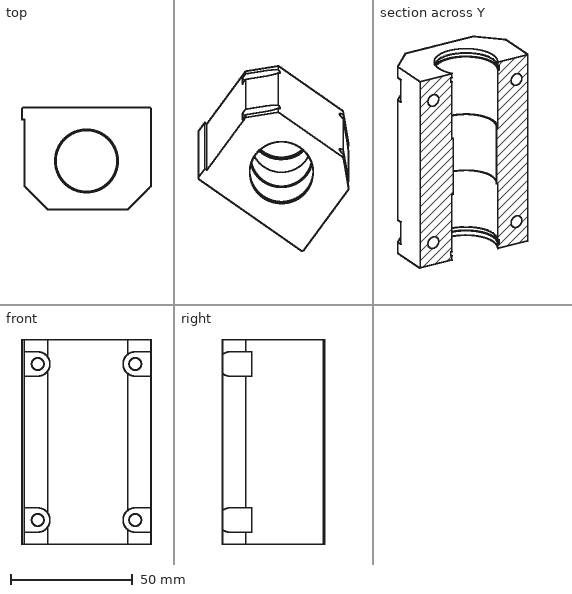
import cadquery as cq

length = 84.0
width = 53.0
depth = 42.0
back_y = depth / 2
front_y = -depth / 2
half_width = width / 2

lip_overhang = 1.0
lip_depth = 5.0
front_chamfer = 9.7
back_chamfer = 0.5

bore_y = back_y - 22.0
middle_diameter = 25.0
seat_diameter = 26.0
seat_depth = 29.4
groove_diameter = 27.2
groove_offset = 2.0
groove_width = 1.7

hole_diameter = 4.95
hole_spacing_x = 40.0
hole_spacing_z = 64.0
slot_width = 10.0
slot_depth = 12.0


def make_body():
    """Extrude the chamfered section with its locating lip on the -X side."""
    body_left = lip_overhang - half_width
    outline = [
        (-half_width + back_chamfer, back_y),
        (half_width - back_chamfer, back_y),
        (half_width, back_y - back_chamfer),
        (half_width, front_y + front_chamfer),
        (half_width - front_chamfer, front_y),
        (body_left + front_chamfer, front_y),
        (body_left, front_y + front_chamfer),
        (body_left, back_y - lip_depth),
        (-half_width, back_y - lip_depth),
        (-half_width, back_y - back_chamfer),
    ]
    return cq.Workplane("XY").polyline(outline).close().extrude(length)


def bore_cylinder(diameter, bottom, height):
    return cq.Workplane("XY", origin=(0, bore_y, bottom)).circle(diameter / 2).extrude(height)


def make_bore():
    """Through bore with a bearing seat and a retaining-ring groove at each end."""
    bore = bore_cylinder(middle_diameter, 0, length)
    for seat_bottom in (0, length - seat_depth):
        bore = bore.union(bore_cylinder(seat_diameter, seat_bottom, seat_depth))
    for groove_bottom in (groove_offset, length - groove_offset - groove_width):
        bore = bore.union(bore_cylinder(groove_diameter, groove_bottom, groove_width))
    return bore


def make_mounting_cut(side, z):
    """Screw hole and round-ended slot; side is -1 or +1 along X."""
    hole_x = side * hole_spacing_x / 2
    front_plane = cq.Workplane("XZ", origin=(hole_x, front_y, z))
    hole = front_plane.circle(hole_diameter / 2).extrude(-depth)
    round_end = front_plane.circle(slot_width / 2).extrude(-slot_depth)
    run_out = half_width - hole_spacing_x / 2
    open_end = (
        front_plane.center(side * run_out / 2, 0)
        .rect(run_out, slot_width)
        .extrude(-slot_depth)
    )
    return hole.union(round_end).union(open_end)


result = make_body().cut(make_bore())
for side in (-1, 1):
    for z_direction in (-1, 1):
        hole_z = length / 2 + z_direction * hole_spacing_z / 2
        result = result.cut(make_mounting_cut(side, hole_z))